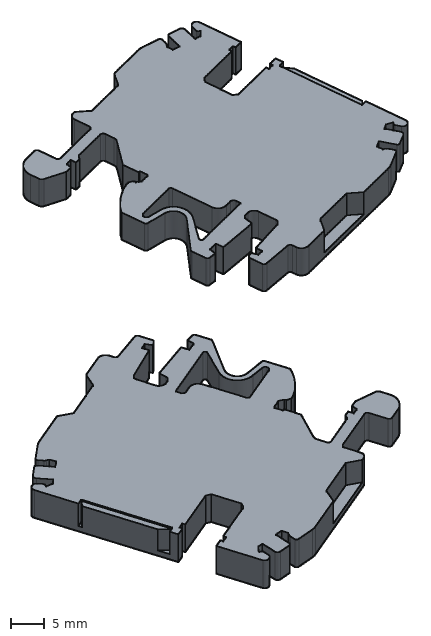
import cadquery as cq
import math


WIDTH = 45.0
HEIGHT = 41.5
THICKNESS = 5.5
SIDE = WIDTH / 2
TOP = HEIGHT / 2
BOTTOM = -HEIGHT / 2

SHOULDER_Y = 11.05
COMB_LEAN = math.radians(19)
GAP_DEPTH = 3.1
SHOULDER_LENGTH = 3.75
SHOULDER_LAND = 1.5
SHOULDER_DIP = 0.3
SHOULDER_DIP_DEPTH = 2.05
TOOTH_START = 4.95
TOOTH_END = 7.8
UPPER_GAP_END = 8.75
LIP_START = 8.95
LIP_LAND = 1.95
LIP_BARB = 0.5
LIP_BARB_DEPTH = 2.2
LIP_INSET = 3.2
SHOULDER_RADIUS = 0.4
SHOULDER_BASE_RADIUS = 2.45
SHOULDER_DIP_RADIUS = 0.7
TOOTH_LOWER_RADIUS = 0.35
TOOTH_UPPER_RADIUS = 0.6
LIP_RADIUS = 0.7
LIP_LAND_RADIUS = 0.22

SLOT_CENTRE_X = -7.95
SLOT_WIDTH = 6.15
SLOT_DEPTH = 10.15
SLOT_CHAMFER = 0.65
CATCH_DEPTH = 0.5
CATCH_HEIGHT = 1.0
CATCH_BELOW_TOP = 1.45

LEFT_EDGE_Y = -7.15
MAIN_EDGE_Y = -11.15
POCKET_ROOF_Y = -8.0
SLOPE_START_X = -14.05
SLOPE_END_X = -10.05
LEFT_CORNER_RADIUS = 0.9
RIGHT_CORNER_RADIUS = 1.3
SLOPE_RADIUS = 1.12
ROOT_RADIUS = 0.5

STEM_LEFT_X = -18.45
STEM_RIGHT_X = -16.55
FOOT_TOP_Y = -15.7
FOOT_TIP_X = -16.0
FOOT_TIP_Y = -17.2
FOOT_BASE_X = -18.05
FOOT_HEEL_RADIUS = 2.48
FOOT_EDGE_RADIUS = 0.5
FOOT_BASE_RADIUS = 0.7
FOOT_NOTCH_DEPTH = 0.95
FOOT_NOTCH_TOP_Y = -14.7
FOOT_NOTCH_HEIGHT = 1.05
NOTCH_LIP_DROP = 0.25
FOOT_BARB_HEIGHT = 0.95
FOOT_BARB_SLOPE = 0.5

HOOK_LEFT_X = -7.2
HOOK_NECK_X = -5.7
HOOK_NECK_TOP_Y = -10.85
HOOK_NECK_BOTTOM_Y = -12.5
HOOK_SHOULDER_Y = -13.15
HOOK_SHOULDER_X = -6.35
HOOK_CORNER_CUT = 0.5
HOOK_CORNER_DROP = 0.68
HOOK_BELLY_TOP_Y = -14.35
HOOK_BELLY_X = -6.6
HOOK_BELLY_Y = -17.6
HOOK_BELLY_RADIUS = 9.45
HOOK_BASE_X = -4.28
HOOK_BASE_Y = -19.75
HOOK_NECK_RADIUS = 0.22

SPRING_X = 2.95
SPRING_Y = -16.75
SPRING_INNER_RADIUS = 2.0
SPRING_OUTER_RADIUS = 2.92
SPRING_LEFT_ANGLE = math.radians(75.5)
SPRING_UNDER_ANGLE = math.radians(-50)
SPRING_OVER_ANGLE = math.radians(-44)
SPRING_END_RADIUS = 0.4

OPENING_LEFT_X = -1.55
OPENING_RIGHT_X = 8.95
OPENING_FLOOR_Y = -18.65
RELIEF_LEFT_X = 7.5
OPENING_CORNER_RADIUS = 0.35
OPENING_FLOOR_RADIUS = 0.55
RELIEF_ROOF_RADIUS = 0.6
RELIEF_ROOT_RADIUS = 1.55

POST_BASE_RIGHT_X = 11.95
POST_TIP_X = 12.2
POST_TIP_Y = -19.12
POST_BASE_RADIUS = 0.45
POST_HEAD_RADIUS = 0.2
POST_NOTCH_X = 11.02
POST_NOTCH_TOP_Y = -17.32
POST_NOTCH_HEIGHT = 1.55
POST_WAIST_X = 12.38
POST_HEAD_X = 12.85
POST_HEAD_Y = -10.65

POCKET_LEFT_X = 11.02
POCKET_FLOOR_Y = -10.25
POCKET_ROOF_RADIUS = 1.12
POCKET_FLOOR_RADIUS = 0.75

LEG_ROOT_LEFT_X = 16.0
LEG_ROOT_RIGHT_X = 20.0
LEG_BARB_X = 16.4
LEG_NOTCH_X = 17.55
LEG_NOTCH_TOP_Y = -14.7
LEG_NOTCH_HEIGHT = 1.0
LEG_BASE_Y = -17.0
LEG_BASE_LEFT_X = 16.55
LEG_BASE_RIGHT_X = 19.58
LEG_ROOT_RADIUS = 0.8
LEG_TOE_RADIUS = 0.5
LEG_EDGE_RADIUS = 0.5

RECESS_FLOOR_Z = 1.1
SIDE_RECESS_DEPTH = 1.95
SIDE_RECESS_LENGTH = 10.15
SIDE_RECESS_CENTRE_Y = -0.7
SIDE_RECESS_TAPER = 1.65
LABEL_LEFT_X = -3.45
LABEL_RIGHT_X = 11.4
LABEL_DEPTH = 1.0
LABEL_LEFT_TAPER = 1.95
LABEL_RIGHT_TAPER = 0.65
LABEL_DROP = 0.25


def rounded_profile(corners):
    """Closed wire through (x, y) or (x, y, radius) corners, with tangent arcs at the radii."""
    wire = None
    for i, corner in enumerate(corners):
        here = cq.Vector(*corner[:2])
        radius = corner[2] if len(corner) == 3 else 0
        points = [here]
        if radius:
            back = (cq.Vector(*corners[i - 1][:2]) - here).normalized()
            ahead = (cq.Vector(*corners[(i + 1) % len(corners)][:2]) - here).normalized()
            half_angle = back.getAngle(ahead) / 2
            setback = radius / math.tan(half_angle)
            middle = (back + ahead).normalized() * (radius / math.sin(half_angle) - radius)
            points = [here + back * setback, here + middle, here + ahead * setback]
        start = points[0].toTuple()[:2]
        wire = cq.Workplane("XY").moveTo(*start) if wire is None else wire.lineTo(*start)
        if radius:
            wire = wire.threePointArc(points[1].toTuple()[:2], points[2].toTuple()[:2])
    return wire.close()


def prism(corners, bottom=0.0, top=THICKNESS):
    return rounded_profile(corners).extrude(top - bottom).translate((0, 0, bottom))


def comb_point(inward, along, *radius):
    """Corner of the left comb, measured inward from and along its leaning edge."""
    x = -SIDE + along * math.sin(COMB_LEAN) + inward * math.cos(COMB_LEAN)
    y = SHOULDER_Y + along * math.cos(COMB_LEAN) - inward * math.sin(COMB_LEAN)
    return (x, y, *radius)


def left_comb():
    """Corners of the left comb, from the top edge down to the shoulder."""
    lip_x = LIP_INSET - SIDE
    lip_y = SHOULDER_Y + (LIP_START - LIP_INSET * math.sin(COMB_LEAN)) / math.cos(COMB_LEAN)
    return [
        (lip_x, TOP, LIP_RADIUS),
        (lip_x, lip_y, LIP_RADIUS),
        comb_point(LIP_LAND, LIP_START, LIP_LAND_RADIUS),
        comb_point(LIP_BARB_DEPTH, LIP_START + LIP_BARB),
        comb_point(GAP_DEPTH, UPPER_GAP_END),
        comb_point(GAP_DEPTH, TOOTH_END),
        comb_point(0, TOOTH_END, TOOTH_UPPER_RADIUS),
        comb_point(0, TOOTH_START, TOOTH_LOWER_RADIUS),
        comb_point(GAP_DEPTH, TOOTH_START),
        comb_point(GAP_DEPTH, SHOULDER_LENGTH),
        comb_point(SHOULDER_DIP_DEPTH, SHOULDER_LENGTH - SHOULDER_DIP),
        comb_point(SHOULDER_LAND, SHOULDER_LENGTH, SHOULDER_DIP_RADIUS),
        comb_point(0, SHOULDER_LENGTH, SHOULDER_RADIUS),
        (-SIDE, SHOULDER_Y, SHOULDER_BASE_RADIUS),
    ]


def left_foot():
    notch_x = FOOT_TIP_X - FOOT_NOTCH_DEPTH
    notch_floor_y = FOOT_NOTCH_TOP_Y - FOOT_NOTCH_HEIGHT
    barb_top_y = FOOT_NOTCH_TOP_Y + FOOT_BARB_HEIGHT
    return [
        (-SIDE, LEFT_EDGE_Y, LEFT_CORNER_RADIUS),
        (STEM_LEFT_X, LEFT_EDGE_Y, ROOT_RADIUS),
        (STEM_LEFT_X, FOOT_TOP_Y, ROOT_RADIUS),
        (-SIDE, FOOT_TOP_Y, FOOT_EDGE_RADIUS),
        (-SIDE, BOTTOM, FOOT_HEEL_RADIUS),
        (FOOT_BASE_X, BOTTOM, FOOT_BASE_RADIUS),
        (FOOT_TIP_X, FOOT_TIP_Y),
        (FOOT_TIP_X, notch_floor_y - NOTCH_LIP_DROP),
        (notch_x, notch_floor_y),
        (notch_x, FOOT_NOTCH_TOP_Y),
        (FOOT_TIP_X, FOOT_NOTCH_TOP_Y),
        (FOOT_TIP_X, barb_top_y),
        (STEM_RIGHT_X, barb_top_y + FOOT_BARB_SLOPE),
        (STEM_RIGHT_X, LEFT_EDGE_Y, ROOT_RADIUS),
        (SLOPE_START_X, LEFT_EDGE_Y, SLOPE_RADIUS),
        (SLOPE_END_X, MAIN_EDGE_Y),
    ]


def hook():
    return [
        (HOOK_LEFT_X, MAIN_EDGE_Y),
        (HOOK_LEFT_X, HOOK_NECK_TOP_Y),
        (HOOK_NECK_X, HOOK_NECK_TOP_Y, HOOK_NECK_RADIUS),
        (HOOK_NECK_X, HOOK_NECK_BOTTOM_Y),
        (HOOK_SHOULDER_X, HOOK_SHOULDER_Y),
        (HOOK_LEFT_X + HOOK_CORNER_CUT, HOOK_SHOULDER_Y),
        (HOOK_LEFT_X, HOOK_SHOULDER_Y - HOOK_CORNER_DROP),
        (HOOK_LEFT_X, HOOK_BELLY_TOP_Y),
        (HOOK_BELLY_X, HOOK_BELLY_Y, HOOK_BELLY_RADIUS),
        (HOOK_BASE_X, HOOK_BASE_Y),
    ]


def spring_line_x(radius, angle, y):
    """X at height y on the line tangent to the top of the spring's bend at the given angle."""
    touch_x = SPRING_X - radius * math.sin(angle)
    touch_y = SPRING_Y + radius * math.cos(angle)
    return touch_x + (y - touch_y) / math.tan(angle)


def spring_apex(radius, right_angle):
    """Corner where the two straight sides of the spring would meet, rounded by the bend."""
    lean = (SPRING_LEFT_ANGLE + right_angle) / 2
    reach = radius / math.cos((SPRING_LEFT_ANGLE - right_angle) / 2)
    return (SPRING_X - reach * math.sin(lean), SPRING_Y + reach * math.cos(lean), radius)


def spring_underside():
    left_x = spring_line_x(SPRING_INNER_RADIUS, SPRING_LEFT_ANGLE, HOOK_BASE_Y)
    right_x = spring_line_x(SPRING_INNER_RADIUS, SPRING_UNDER_ANGLE, BOTTOM)
    return [
        (left_x, HOOK_BASE_Y, SPRING_END_RADIUS),
        spring_apex(SPRING_INNER_RADIUS, SPRING_UNDER_ANGLE),
        (right_x, BOTTOM, SPRING_END_RADIUS),
    ]


def post_and_pocket():
    return [
        (POST_BASE_RIGHT_X, BOTTOM, POST_BASE_RADIUS),
        (POST_TIP_X, POST_TIP_Y),
        (POST_NOTCH_X, POST_NOTCH_TOP_Y - POST_NOTCH_HEIGHT),
        (POST_NOTCH_X, POST_NOTCH_TOP_Y),
        (POST_WAIST_X, POST_NOTCH_TOP_Y),
        (POST_HEAD_X, POST_HEAD_Y, POST_HEAD_RADIUS),
        (POCKET_LEFT_X, POCKET_FLOOR_Y, POCKET_FLOOR_RADIUS),
        (POCKET_LEFT_X, POCKET_ROOF_Y, POCKET_ROOF_RADIUS),
    ]


def right_leg():
    notch_floor_y = LEG_NOTCH_TOP_Y - LEG_NOTCH_HEIGHT
    return [
        (LEG_ROOT_LEFT_X, POCKET_ROOF_Y, LEG_ROOT_RADIUS),
        (LEG_BARB_X, LEG_NOTCH_TOP_Y),
        (LEG_NOTCH_X, LEG_NOTCH_TOP_Y),
        (LEG_NOTCH_X, notch_floor_y),
        (LEG_BARB_X, notch_floor_y - NOTCH_LIP_DROP),
        (LEG_BASE_LEFT_X, LEG_BASE_Y, LEG_TOE_RADIUS),
        (LEG_BASE_RIGHT_X, LEG_BASE_Y, LEG_EDGE_RADIUS),
        (LEG_ROOT_RIGHT_X, MAIN_EDGE_Y, LEG_EDGE_RADIUS),
        (SIDE, MAIN_EDGE_Y, RIGHT_CORNER_RADIUS),
    ]


def right_comb():
    """The left comb mirrored, from the shoulder up to the top edge."""
    return [(-x, *rest) for x, *rest in reversed(left_comb())]


def plate():
    lower_edge = left_foot() + hook() + spring_underside() + post_and_pocket() + right_leg()
    return prism(left_comb() + lower_edge + right_comb())


def spring_opening():
    left_x = spring_line_x(SPRING_OUTER_RADIUS, SPRING_LEFT_ANGLE, OPENING_FLOOR_Y)
    apex = spring_apex(SPRING_OUTER_RADIUS, SPRING_OVER_ANGLE)
    right_y = apex[1] + (OPENING_RIGHT_X - apex[0]) * math.tan(SPRING_OVER_ANGLE)
    return prism([
        (OPENING_LEFT_X, MAIN_EDGE_Y, OPENING_CORNER_RADIUS),
        (OPENING_LEFT_X, OPENING_FLOOR_Y, OPENING_FLOOR_RADIUS),
        (left_x, OPENING_FLOOR_Y, OPENING_FLOOR_RADIUS),
        apex,
        (OPENING_RIGHT_X, right_y, OPENING_CORNER_RADIUS),
        (OPENING_RIGHT_X, POCKET_ROOF_Y),
        (RELIEF_LEFT_X, POCKET_ROOF_Y, RELIEF_ROOF_RADIUS),
        (RELIEF_LEFT_X, MAIN_EDGE_Y, RELIEF_ROOT_RADIUS),
    ])


def wire_slot():
    """Slot from the top edge with chamfered lower corners and a catch notch on each wall."""
    floor_y = TOP - SLOT_DEPTH
    half_width = SLOT_WIDTH / 2
    slot = prism([
        (SLOT_CENTRE_X - half_width, TOP),
        (SLOT_CENTRE_X - half_width, floor_y + SLOT_CHAMFER),
        (SLOT_CENTRE_X - half_width + SLOT_CHAMFER, floor_y),
        (SLOT_CENTRE_X + half_width - SLOT_CHAMFER, floor_y),
        (SLOT_CENTRE_X + half_width, floor_y + SLOT_CHAMFER),
        (SLOT_CENTRE_X + half_width, TOP),
    ])
    catch_y = TOP - CATCH_BELOW_TOP - CATCH_HEIGHT / 2
    catches = cq.Workplane("XY").center(SLOT_CENTRE_X, catch_y)
    catches = catches.rect(SLOT_WIDTH + 2 * CATCH_DEPTH, CATCH_HEIGHT).extrude(THICKNESS)
    return slot.union(catches)


def side_recess(side):
    """Recess with slanted ends in the left (-1) or right (+1) edge."""
    inner_x = side * (SIDE - SIDE_RECESS_DEPTH)
    upper_y = SIDE_RECESS_CENTRE_Y + SIDE_RECESS_LENGTH / 2
    lower_y = SIDE_RECESS_CENTRE_Y - SIDE_RECESS_LENGTH / 2
    return prism([
        (side * SIDE, upper_y),
        (inner_x, upper_y - SIDE_RECESS_TAPER),
        (inner_x, lower_y + SIDE_RECESS_TAPER),
        (side * SIDE, lower_y),
    ], RECESS_FLOOR_Z)


def label_recess():
    """Recess in the top edge that leaves a slightly lowered land with slanted ends."""
    inner_y = TOP - LABEL_DEPTH
    recess = prism([
        (LABEL_LEFT_X, TOP),
        (LABEL_LEFT_X, inner_y),
        (LABEL_RIGHT_X, inner_y),
        (LABEL_RIGHT_X, TOP),
    ], RECESS_FLOOR_Z)
    land = prism([
        (LABEL_LEFT_X + LABEL_LEFT_TAPER, TOP),
        (LABEL_LEFT_X, inner_y),
        (LABEL_RIGHT_X, inner_y),
        (LABEL_RIGHT_X - LABEL_RIGHT_TAPER, TOP),
    ], RECESS_FLOOR_Z, THICKNESS - LABEL_DROP)
    return recess.cut(land)


result = plate().cut(spring_opening()).cut(wire_slot()).cut(label_recess())
for side in (-1, 1):
    result = result.cut(side_recess(side))